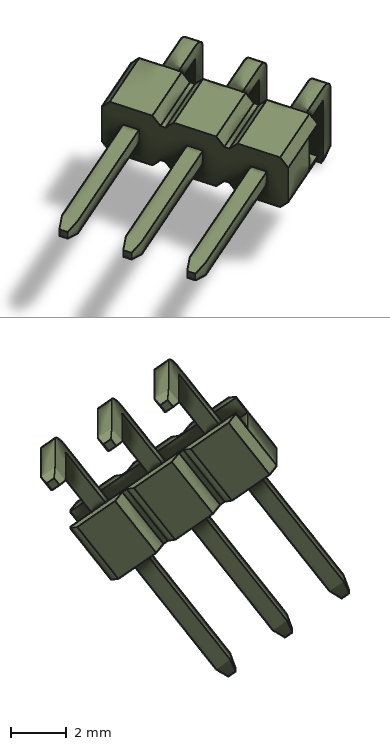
import cadquery as cq

pin_count = 3
pitch = 2.54

pin_width = 0.63
tip_width = 0.33
tip_length = 0.53
total_length = 11.14
total_height = 4.9
bend_outer_radius = 0.63
bend_inner_radius = 0.06

cell_width = 2.34
body_height = 2.5
body_depth = 2.5
body_front = 5.73
bevel_width = 0.32
bevel_height = 0.39
recess_depth = 0.71
recess_height = 1.49

body_back = body_front + body_depth
body_length = (pin_count - 1) * pitch + cell_width
body_middle_z = total_height - body_height / 2
web_height = body_height - 2 * bevel_height
leg_middle_y = total_length - pin_width / 2
pin_positions = [(i - (pin_count - 1) / 2) * pitch for i in range(pin_count)]


def body_cell(x):
    """Octagonal body block around one pin."""
    half_width = cell_width / 2
    half_height = body_height / 2
    flat_x = half_width - bevel_width
    side_z = half_height - bevel_height
    outline = [
        (-flat_x, half_height),
        (flat_x, half_height),
        (half_width, side_z),
        (half_width, -side_z),
        (flat_x, -half_height),
        (-flat_x, -half_height),
        (-half_width, -side_z),
        (-half_width, side_z),
    ]
    cell = cq.Workplane("XZ").polyline(outline).close().extrude(-body_depth)
    return cell.translate((x, body_front, body_middle_z))


def header_body():
    """Body blocks joined by a web, with a recess along the back face."""
    body = cq.Workplane("XY").box(body_length, body_depth, web_height)
    body = body.translate((0, body_front + body_depth / 2, body_middle_z))
    for x in pin_positions:
        body = body.union(body_cell(x))
    recess = cq.Workplane("XY").box(body_length, recess_depth, recess_height)
    return body.cut(recess.translate((0, body_back - recess_depth / 2, body_middle_z)))


def tapered_tip(plane):
    """Square taper along the plane normal, ending on the full pin section."""
    return (
        cq.Workplane(plane)
        .rect(tip_width, tip_width)
        .workplane(offset=tip_length)
        .rect(pin_width, pin_width)
        .loft(ruled=True)
    )


def bent_pin(x):
    """Square pin with a horizontal mating end and a downward solder leg."""
    top = body_middle_z + pin_width / 2
    underside = top - pin_width
    leg_front = total_length - pin_width
    outline = [
        (tip_length, underside),
        (tip_length, top),
        (total_length, top),
        (total_length, tip_length),
        (leg_front, tip_length),
        (leg_front, underside),
    ]
    pin = cq.Workplane("YZ").polyline(outline).close().extrude(pin_width / 2, both=True)
    outer_corner = cq.selectors.NearestToPointSelector((0, total_length, top))
    inner_corner = cq.selectors.NearestToPointSelector((0, leg_front, underside))
    pin = pin.edges("|X").edges(outer_corner).fillet(bend_outer_radius)
    pin = pin.edges("|X").edges(inner_corner).fillet(bend_inner_radius)

    mating_plane = cq.Plane(origin=(0, 0, body_middle_z), xDir=(1, 0, 0), normal=(0, 1, 0))
    solder_plane = cq.Plane(origin=(0, leg_middle_y, 0))
    pin = pin.union(tapered_tip(mating_plane)).union(tapered_tip(solder_plane))
    return pin.translate((x, 0, 0))


result = header_body()
for pin_x in pin_positions:
    result = result.union(bent_pin(pin_x))